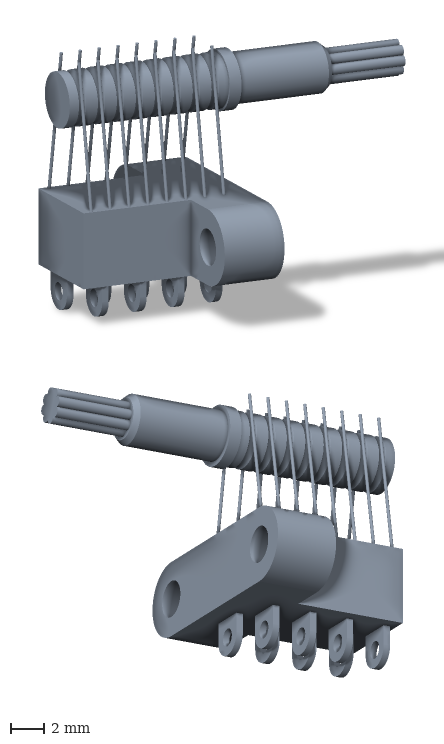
import cadquery as cq
import math


block_height = 4.76
block_width = 6.36
block_length = 11.18
block_top = block_height / 2
block_bottom = -block_height / 2
ear_span = 15.88
ear_thickness = 4.0
ear_hole_diameter = 2.3
ear_hole_spacing = ear_span - block_height

station_count = 8
station_pitch = 1.27
first_station_y = -1.68
station_ys = [first_station_y - i * station_pitch for i in range(station_count)]

lug_width = 2.29
lug_drop = 2.38
lug_thickness = 0.44
lug_hole_diameter = 1.12

shaft_height = 6.35
shaft_axis_z = block_top + shaft_height
ring_diameter = 3.5
ring_end_y = -11.43
collar_diameter = 3.82
collar_length = 0.78
stem_diameter = 3.2
stem_length = 6.35
stem_chamfer_length = 0.35
stem_chamfer_depth = 0.28
groove_floor_radius = 1.6
groove_width = 0.48

lead_count = 8
lead_radius = 0.33
lead_circle_radius = 0.82
lead_length = 5.0

wire_diameter = 0.2
wire_lean = math.radians(10.8)
wire_rise = 8.91
wire_root = 0.4
wire_contact_distance = groove_floor_radius + wire_diameter / 2
wire_base_x = (wire_contact_distance + shaft_height * math.sin(wire_lean)) / math.cos(wire_lean)


def make_block():
    ears = (
        cq.Workplane("XZ")
        .slot2D(ear_span, block_height)
        .extrude(ear_thickness)
    )
    ear_holes = (
        cq.Workplane("XZ")
        .pushPoints([(-ear_hole_spacing / 2, 0), (ear_hole_spacing / 2, 0)])
        .circle(ear_hole_diameter / 2)
        .extrude(ear_thickness)
    )
    block = cq.Workplane("XZ").rect(block_width, block_height).extrude(block_length)
    return ears.cut(ear_holes).union(block)


def make_lug(side, y):
    """Round-ended tab with a hole, hanging from the block on the given side of X = 0."""
    radius = lug_width / 2
    centre_x = side * radius
    root_z = lug_drop - radius
    centre_z = block_bottom - root_z
    plane = cq.Workplane("XZ", origin=(centre_x, y + lug_thickness / 2, centre_z))
    hole = plane.circle(lug_hole_diameter / 2).extrude(lug_thickness)
    return (
        plane
        .moveTo(-radius, root_z)
        .lineTo(-radius, 0)
        .threePointArc((0, -radius), (radius, 0))
        .lineTo(radius, root_z)
        .close()
        .extrude(lug_thickness)
        .cut(hole)
    )


def make_wire(side, y):
    """Straight wire rooted in the block and leaning towards X = 0."""
    direction = cq.Vector(-side * math.sin(wire_lean), 0, math.cos(wire_lean))
    base = cq.Vector(side * wire_base_x, y, block_top)
    length = wire_rise / math.cos(wire_lean) + wire_root
    return cq.Workplane(
        cq.Solid.makeCylinder(wire_diameter / 2, length, base - direction * wire_root, direction)
    )


def make_brush_block():
    body = make_block()
    for index, y in enumerate(station_ys):
        lug_side = 1 if index % 2 == 0 else -1
        body = body.union(make_lug(lug_side, y))
        for wire_side in (-1, 1):
            body = body.union(make_wire(wire_side, y))
    return body


def make_shaft_core():
    """Ringed front end, collar and chamfered stem, revolved about the shaft axis."""
    ring_radius = ring_diameter / 2
    collar_radius = collar_diameter / 2
    stem_radius = stem_diameter / 2
    stem_end_radius = stem_radius - stem_chamfer_depth
    return (
        cq.Workplane("YZ", origin=(0, 0, shaft_axis_z))
        .moveTo(ring_end_y, 0)
        .lineTo(ring_end_y, ring_radius)
        .lineTo(-collar_length, ring_radius)
        .lineTo(-collar_length, collar_radius)
        .lineTo(0, collar_radius)
        .lineTo(0, stem_radius)
        .lineTo(stem_length - stem_chamfer_length, stem_radius)
        .lineTo(stem_length, stem_end_radius)
        .lineTo(stem_length, 0)
        .close()
        .revolve(360, (0, 0), (1, 0))
    )


def make_groove(y):
    """Ring-shaped cutter whose round floor meets the ring surface at the groove width."""
    ring_radius = ring_diameter / 2
    depth = ring_radius - groove_floor_radius
    half_width = groove_width / 2
    groove_radius = (half_width ** 2 + depth ** 2) / (2 * depth)
    return cq.Workplane(
        cq.Solid.makeTorus(
            groove_floor_radius + groove_radius,
            groove_radius,
            cq.Vector(0, y, shaft_axis_z),
            cq.Vector(0, 1, 0),
        )
    )


def make_leads():
    """Ring of round leads around a solid core."""
    start = (0, stem_length, shaft_axis_z)
    core = cq.Workplane("XZ", origin=start).circle(lead_circle_radius).extrude(-lead_length)
    leads = (
        cq.Workplane("XZ", origin=start)
        .polarArray(lead_circle_radius, 0, 360, lead_count)
        .circle(lead_radius)
        .extrude(-lead_length)
    )
    return core.union(leads)


def make_shaft():
    shaft = make_shaft_core()
    for y in station_ys:
        shaft = shaft.cut(make_groove(y))
    return shaft.union(make_leads())


brush_block = make_brush_block()
shaft = make_shaft()

result = cq.Compound.makeCompound([brush_block.solids().val(), shaft.solids().val()])